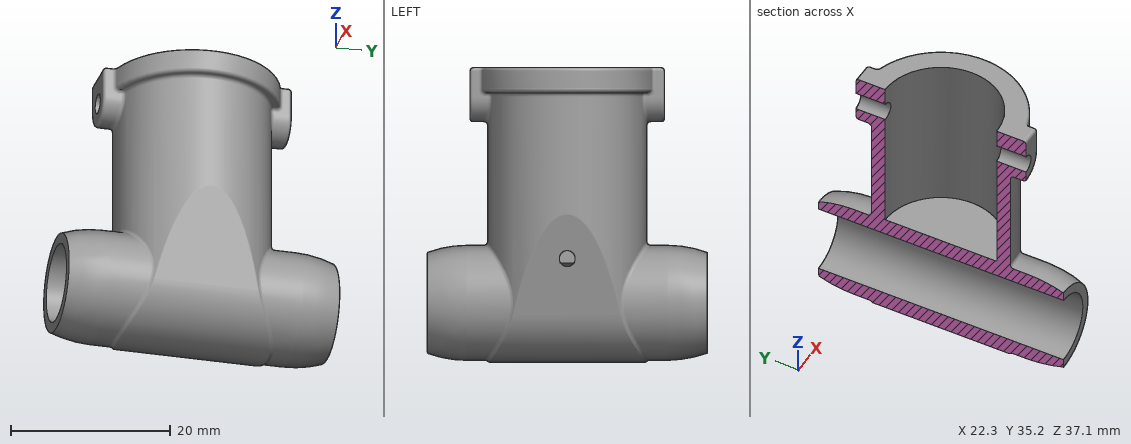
import cadquery as cq
import math

height = 37.08
run_length = 35.23

body_radius = 10.0
bore_radius = 8.0

foot_radius = 7.5
flank_angle = 12.0
run_height = foot_radius
bore_floor = run_height + foot_radius

pipe_radius = 7.25
pipe_bore_radius = 5.0
barrel_length = 5.0
barrel_end_radius = 6.35
back_end_fillet = 0.3

flange_radius = 11.15
flange_thickness = 3.2

lug_reach = 12.25
lug_radius = 3.0
lug_drop = 3.82
lug_hole_radius = 1.25

drain_radius = 1.0
drain_height = 13.05

edge_fillet = 0.5
lug_fillet = 0.4
foot_edge_fillet = 0.25
pipe_fillet = 0.5


def make_body():
    """Round column whose lower part is narrowed by flat flanks tangent to the foot."""
    angle = math.radians(flank_angle)
    tangent_x = foot_radius * math.cos(angle)
    tangent_z = run_height - foot_radius * math.sin(angle)
    top_x = tangent_x + (height - tangent_z) * math.tan(angle)
    profile = (
        cq.Workplane("XZ")
        .moveTo(-top_x, height)
        .lineTo(-tangent_x, tangent_z)
        .threePointArc((0, 0), (tangent_x, tangent_z))
        .lineTo(top_x, height)
        .close()
        .extrude(body_radius + 0.37, both=True)
    )
    column = cq.Workplane("XY").circle(body_radius).extrude(height)
    return column.intersect(profile)


def make_pipe():
    """Run pipe turned about Y: straight in the middle, arced in at both ends."""
    end = run_length / 2
    start = end - barrel_length
    drop = pipe_radius - barrel_end_radius
    arc_radius = (barrel_length**2 + drop**2) / (2 * drop)
    half_sweep = math.asin(barrel_length / arc_radius) / 2
    mid_y = start + arc_radius * math.sin(half_sweep)
    mid_r = pipe_radius - arc_radius * (1 - math.cos(half_sweep))
    pipe = (
        cq.Workplane("XY")
        .moveTo(0, -end)
        .lineTo(barrel_end_radius, -end)
        .threePointArc((mid_r, -mid_y), (pipe_radius, -start))
        .lineTo(pipe_radius, start)
        .threePointArc((mid_r, mid_y), (barrel_end_radius, end))
        .lineTo(0, end)
        .close()
        .revolve(360, (0, 0, 0), (0, 1, 0))
    )
    pipe = pipe.faces(">Y").edges().fillet(back_end_fillet)
    return pipe.translate((0, 0, run_height))


def make_head():
    """Flange with the two round-bottomed lugs."""
    flange = (
        cq.Workplane("XY", origin=(0, 0, height - flange_thickness))
        .circle(flange_radius)
        .extrude(flange_thickness)
    )
    lugs = (
        cq.Workplane("XZ")
        .moveTo(-lug_radius, height)
        .lineTo(-lug_radius, height - lug_drop)
        .threePointArc((0, height - lug_drop - lug_radius), (lug_radius, height - lug_drop))
        .lineTo(lug_radius, height)
        .close()
        .extrude(lug_reach, both=True)
    )
    return flange.union(lugs)


def edges_between(solid, y_limit, z_low, z_high):
    """Edges lying wholly within |y| < y_limit and z_low < z < z_high."""
    reach = 2 * flange_radius
    zone = cq.selectors.BoxSelector(
        (-reach, -y_limit, z_low), (reach, y_limit, z_high), boundingbox=True
    )
    return solid.edges(zone)


def blend_head(solid):
    """Round the flange rim, the lugs and the corners where they meet the body."""
    lug_bottom = height - lug_drop - lug_radius
    inside_lug_tips = (flange_radius + lug_reach) / 2
    corners = edges_between(solid, inside_lug_tips, lug_bottom - 0.37, height + 0.37).edges("not >Z")
    solid = corners.fillet(edge_fillet)
    solid = solid.faces("<Y or >Y").edges("not >Z").fillet(lug_fillet)
    return solid.faces(">Z").edges().fillet(edge_fillet)


def blend_foot_edge(solid):
    """Soften the edge where the flanks and the rounded foot cut the round column."""
    cut_edge = edges_between(solid, run_length, -0.37, height / 2 + edge_fillet)
    return cut_edge.edges("not |Y").fillet(foot_edge_fillet)


def blend_pipe(solid):
    """Fillet where the run pipe leaves the body."""
    pipe_start = run_length / 2 - barrel_length
    near_pipe = edges_between(solid, pipe_start - 0.37, -0.37, run_height + pipe_radius + 0.37)
    junctions = [
        edge
        for edge in near_pipe.vals()
        if edge.BoundingBox().zmax > run_height + pipe_radius - 0.37
    ]
    return solid.newObject(junctions).fillet(pipe_fillet)


def cut_bores(solid):
    """Blind bore from the mouth, through run, lug holes and cross hole from the middle outward."""
    main_bore = (
        cq.Workplane("XY", origin=(0, 0, bore_floor)).circle(bore_radius).extrude(height)
    )
    run_bore = (
        cq.Workplane("XZ", origin=(0, 0, run_height))
        .circle(pipe_bore_radius)
        .extrude(run_length, both=True)
    )
    lug_holes = (
        cq.Workplane("XZ", origin=(0, 0, height - lug_drop))
        .circle(lug_hole_radius)
        .extrude(run_length, both=True)
    )
    drain = (
        cq.Workplane("YZ", origin=(0, 0, drain_height))
        .circle(drain_radius)
        .extrude(-2 * body_radius)
    )
    return solid.cut(main_bore).cut(run_bore).cut(lug_holes).cut(drain)


shell = blend_foot_edge(make_body())
shell = blend_head(shell.union(make_head()))
shell = blend_pipe(shell.union(make_pipe()))
result = cut_bores(shell)